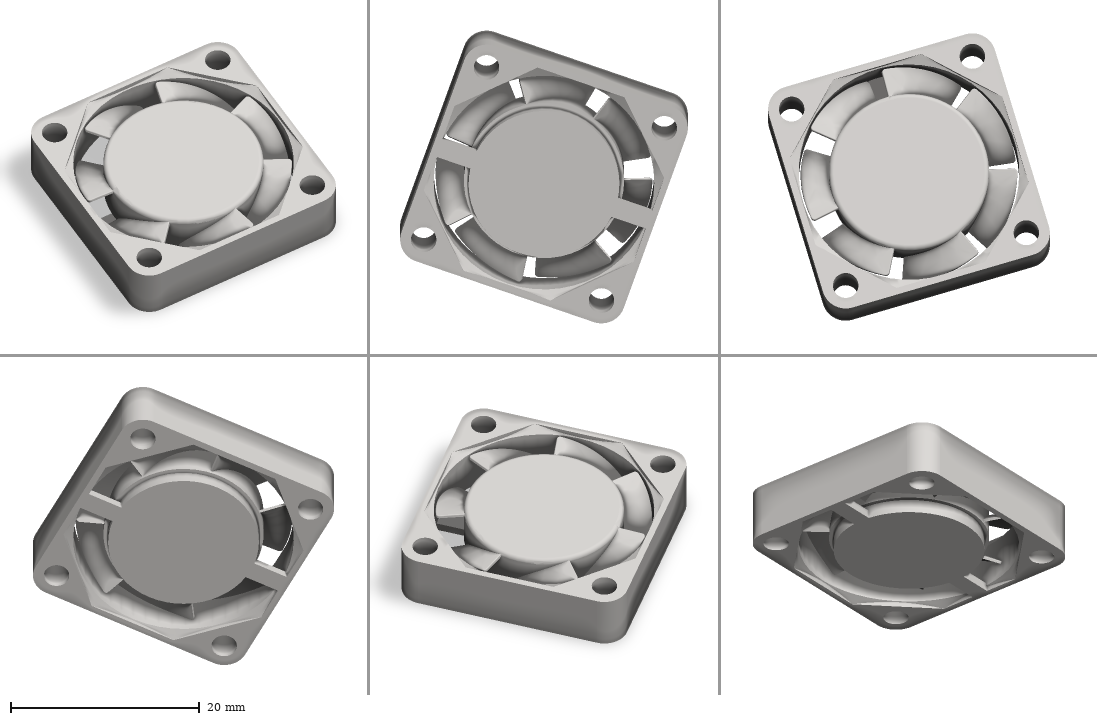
import cadquery as cq
import math

SIDE = 25.0
HEIGHT = 6.0
CORNER_RADIUS = 2.5
HOLE_DIAMETER = 2.7
HOLE_SPACING = 20.0

BORE_RADIUS = 11.7
OCTAGON_SIDES = 8
OCTAGON_WIDTH = 23.6
OCTAGON_CORNER_RADIUS = OCTAGON_WIDTH / 2 / math.cos(math.pi / OCTAGON_SIDES)
FLARE_DEPTH = 0.6

BASE_RADIUS = 8.0
STRUT_WIDTH = 2.0
STRUT_HEIGHT = 0.9
STRUT_LENGTH = BORE_RADIUS + SIDE / 2

HUB_RADIUS = 8.5
HUB_BOTTOM = 1.5
HUB_TOP = 5.8
HUB_FILLET = 0.5

BLADE_COUNT = 7
BLADE_TIP_RADIUS = 11.5
BLADE_ROOT_RADIUS = 7.75
BLADE_BLANK_RADIUS = 12.0
BLADE_START_ANGLE = 18.0
BLADE_SPAN_ANGLE = 44.3
BLADE_LOW_Z = 2.0
BLADE_MIDDLE_Z = 4.38
BLADE_HIGH_Z = 5.5
BLADE_THICKNESS = 0.3
BLADE_CORNER_RADIUS = 0.38
BLADE_EDGE_FILLET = 0.1


def duct_flare():
    """Octagonal opening with a conical floor, wide end at the top of the housing."""
    cone = cq.Solid.makeCone(BORE_RADIUS, OCTAGON_CORNER_RADIUS, FLARE_DEPTH)
    octagon = (
        cq.Workplane()
        .polygon(OCTAGON_SIDES, 2 * OCTAGON_CORNER_RADIUS)
        .extrude(FLARE_DEPTH)
        .rotate((0, 0, 0), (0, 0, 1), 180 / OCTAGON_SIDES)
    )
    return octagon.intersect(cq.Workplane(cone)).translate((0, 0, HEIGHT - FLARE_DEPTH))


def make_housing():
    frame = cq.Workplane().rect(SIDE, SIDE).extrude(HEIGHT).edges("|Z").fillet(CORNER_RADIUS)
    holes = (
        cq.Workplane()
        .rect(HOLE_SPACING, HOLE_SPACING, forConstruction=True)
        .vertices()
        .circle(HOLE_DIAMETER / 2)
        .extrude(HEIGHT)
    )
    bore = cq.Workplane().circle(BORE_RADIUS).extrude(HEIGHT)
    top_flare = duct_flare()
    bottom_flare = top_flare.mirror("XY", (0, 0, HEIGHT / 2))
    base = cq.Workplane().circle(BASE_RADIUS).extrude(HUB_BOTTOM)
    strut = cq.Workplane().rect(STRUT_WIDTH, STRUT_LENGTH).extrude(STRUT_HEIGHT)
    frame = frame.cut(holes).cut(bore).cut(top_flare).cut(bottom_flare)
    return frame.union(base).union(strut)


def blade_section(radius):
    """Arched blade section on the plane X = radius; sections at all radii share the same heights."""
    half_width = radius * math.tan(math.radians(BLADE_SPAN_ANGLE / 2))
    low = cq.Vector(radius, -half_width, BLADE_LOW_Z)
    middle = cq.Vector(radius, 0, BLADE_MIDDLE_Z)
    high = cq.Vector(radius, half_width, BLADE_HIGH_Z)

    def under_offset(start, end):
        along = (end - start).normalized()
        return cq.Vector(0, along.z, -along.y) * BLADE_THICKNESS

    low_under = low + under_offset(low, middle)
    middle_under = middle + under_offset(low, high)
    high_under = high + under_offset(middle, high)
    return cq.Wire.assembleEdges(
        [
            cq.Edge.makeThreePointArc(low, middle, high),
            cq.Edge.makeLine(high, high_under),
            cq.Edge.makeThreePointArc(high_under, middle_under, low_under),
            cq.Edge.makeLine(low_under, low),
        ]
    )


def make_blade():
    """One blade with its middle on the +X axis."""
    sections = [blade_section(BLADE_ROOT_RADIUS), blade_section(BLADE_BLANK_RADIUS)]
    blank = cq.Workplane(cq.Solid.makeLoft(sections, True))
    tip_cylinder = cq.Workplane().circle(BLADE_TIP_RADIUS).extrude(HEIGHT)
    blade = blank.intersect(tip_cylinder, clean=False).solids().val()

    outer_edges = [edge for edge in blade.Edges() if edge.Center().x > HUB_RADIUS]
    corner_edges = [edge for edge in outer_edges if edge.Length() < 2 * BLADE_THICKNESS]
    blade = blade.fillet(BLADE_CORNER_RADIUS, corner_edges)

    upper_face = max(blade.Faces(), key=lambda face: face.normalAt().z)
    rim_edges = [edge for edge in upper_face.Edges() if edge.Center().x > HUB_RADIUS]
    return cq.Workplane(blade.fillet(BLADE_EDGE_FILLET, rim_edges))


def make_rotor():
    rotor = (
        cq.Workplane()
        .workplane(offset=HUB_BOTTOM)
        .circle(HUB_RADIUS)
        .extrude(HUB_TOP - HUB_BOTTOM)
        .faces(">Z")
        .edges()
        .fillet(HUB_FILLET)
    )
    blade = make_blade()
    for index in range(BLADE_COUNT):
        angle = BLADE_START_ANGLE + BLADE_SPAN_ANGLE / 2 + index * 360 / BLADE_COUNT
        rotor = rotor.union(blade.rotate((0, 0, 0), (0, 0, 1), angle))
    return rotor


housing = make_housing()
rotor = make_rotor()
result = cq.Compound.makeCompound([housing.solids().val(), rotor.solids().val()])